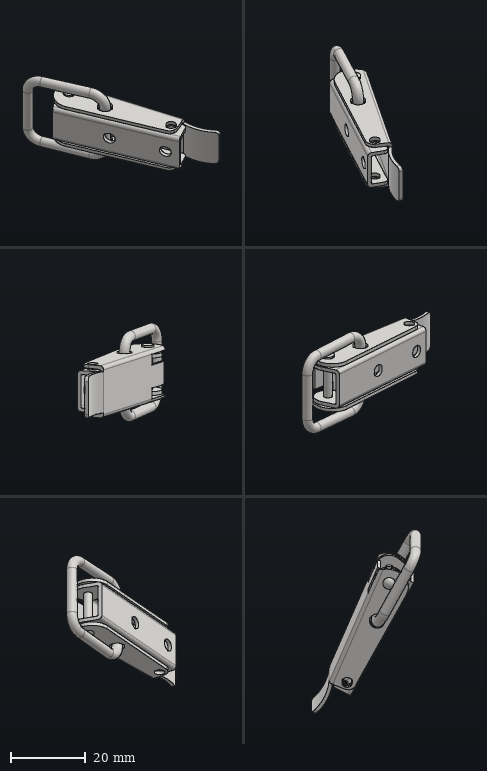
import cadquery as cq
import math

SHEET = 1.05
LEVER_BACK_SHEET = 0.9
BEND_OUTER = 1.05
BEND_INNER = 0.45
LEVER_HALF_WIDTH = 7.1
BASE_HALF_WIDTH = 5.6
THROUGH = 33.05

PIN_X = 12.55
PIN_Y = 6.15
PIN_DIAMETER = 2.4
PIN_HEAD_DIAMETER = 3.4
PIN_HEAD_HEIGHT = 0.5
PIN_DOME_DIAMETER = 3.3
PIN_DOME_HEIGHT = 0.9

WIRE_DIAMETER = 3.0
BAIL_X_NEAR = WIRE_DIAMETER / 2
BAIL_X_FAR = 23.5
BAIL_Y = 4.0
BAIL_BEND = 4.0
BAIL_NEAR_HALF = 10.65
BAIL_FAR_HALF = 10.85

BAIL_HOLE_DIAMETER = 4.0
LOCK_HOLE_X = 42.6
LOCK_HOLE_Y = 3.05
LOCK_HOLE_DIAMETER = 2.8

BASE_X_MIN = 10.0
BASE_X_MAX = 46.0
BASE_SIDE_HEIGHT = 5.85
BASE_CORNER = 1.1
BASE_EAR_RADIUS = 3.9
MOUNT_HOLE_DIAMETER = 3.3
MOUNT_HOLE_XS = (26.1, 42.05)

LEVER_TOP_X = 10.6
LEVER_TOP_Y = 10.4
LEVER_END_X = 44.95
LEVER_END_Y = 7.2
LEVER_SLOPE = math.atan2(LEVER_TOP_Y - LEVER_END_Y, LEVER_END_X - LEVER_TOP_X)
LEVER_BOTTOM_Y = 0.5
LEVER_BOTTOM_CORNER = 2.35
NOSE_X = 8.55
NOSE_LOWER_RADIUS = 4.95
NOSE_UPPER_RADIUS = 6.95
TONGUE_HALF_WIDTH = 3.15
TONGUE_START_X = 11.2
NOTCH_END_X = 17.9

TAB_X_MAX = 55.1
TAB_HOLLOW_RADIUS = 13.2
TAB_CORNER = 1.2


def side_cylinder(x, y, diameter, z_from, z_to):
    """Cylinder along Z."""
    return cq.Workplane("XY", origin=(x, y, z_from)).circle(diameter / 2).extrude(z_to - z_from)


def through_side_holes():
    """Tools for the holes shared by the side plates of base and lever."""
    bail_hole = side_cylinder(BAIL_X_FAR, BAIL_Y, BAIL_HOLE_DIAMETER, -THROUGH, THROUGH)
    lock_hole = side_cylinder(LOCK_HOLE_X, LOCK_HOLE_Y, LOCK_HOLE_DIAMETER, -THROUGH, THROUGH)
    return bail_hole.union(lock_hole)


def make_bail():
    """Closed wire loop whose far leg crosses both channels."""
    spread = math.atan2(BAIL_FAR_HALF - BAIL_NEAR_HALF, BAIL_X_FAR - BAIL_X_NEAR)

    def bend_points(x_leg, inward, arm_height, tilt):
        """Leg tangent, middle and arm tangent points of one upper bend."""
        center_x = x_leg + inward * BAIL_BEND
        center_z = arm_height - BAIL_BEND
        arm_angle = math.pi / 2 + tilt
        leg_angle = math.pi if inward > 0 else 0.0
        angles = (leg_angle, (leg_angle + arm_angle) / 2, arm_angle)
        return [(center_x + BAIL_BEND * math.cos(a), center_z + BAIL_BEND * math.sin(a)) for a in angles]

    def mirrored(point):
        return (point[0], -point[1])

    near_leg, near_mid, near_arm = bend_points(BAIL_X_NEAR, 1, BAIL_NEAR_HALF, spread)
    far_leg, far_mid, far_arm = bend_points(BAIL_X_FAR, -1, BAIL_FAR_HALF, spread)
    path = (
        cq.Workplane("XZ", origin=(0, BAIL_Y, 0))
        .moveTo(BAIL_X_NEAR, 0)
        .lineTo(*near_leg)
        .threePointArc(near_mid, near_arm)
        .lineTo(*far_arm)
        .threePointArc(far_mid, far_leg)
        .lineTo(*mirrored(far_leg))
        .threePointArc(mirrored(far_mid), mirrored(far_arm))
        .lineTo(*mirrored(near_arm))
        .threePointArc(mirrored(near_mid), mirrored(near_leg))
        .close()
    )
    section = cq.Workplane("XY", origin=(BAIL_X_NEAR, BAIL_Y, 0)).circle(WIRE_DIAMETER / 2)
    return section.sweep(path, transition="round")


def make_base():
    """U-channel with mounting holes and a rounded ear around the pin on each side."""
    ear_right_x = PIN_X + math.sqrt(BASE_EAR_RADIUS**2 - (BASE_SIDE_HEIGHT - PIN_Y) ** 2)
    corner_distance = math.hypot(PIN_X - BASE_X_MIN, PIN_Y)
    tangent_angle = (
        math.atan2(-PIN_Y, BASE_X_MIN - PIN_X) - math.acos(BASE_EAR_RADIUS / corner_distance)
    )
    tangent_point = (
        PIN_X + BASE_EAR_RADIUS * math.cos(tangent_angle),
        PIN_Y + BASE_EAR_RADIUS * math.sin(tangent_angle),
    )
    body = (
        cq.Workplane("XY")
        .moveTo(BASE_X_MIN, 0)
        .lineTo(*tangent_point)
        .threePointArc((PIN_X, PIN_Y + BASE_EAR_RADIUS), (ear_right_x, BASE_SIDE_HEIGHT))
        .lineTo(BASE_X_MAX - BASE_CORNER, BASE_SIDE_HEIGHT)
        .radiusArc((BASE_X_MAX, BASE_SIDE_HEIGHT - BASE_CORNER), BASE_CORNER)
        .lineTo(BASE_X_MAX, 0)
        .close()
        .extrude(BASE_HALF_WIDTH, both=True)
        .faces("<Y")
        .edges("|X")
        .fillet(BEND_OUTER)
    )
    cavity = (
        cq.Workplane("XY")
        .box(4 * THROUGH, THROUGH, 2 * (BASE_HALF_WIDTH - SHEET))
        .faces("<Y")
        .edges("|X")
        .fillet(BEND_INNER)
        .translate((BASE_X_MIN, SHEET + THROUGH / 2, 0))
    )
    body = body.cut(cavity).cut(through_side_holes())
    body = body.cut(side_cylinder(PIN_X, PIN_Y, PIN_DIAMETER, -BASE_HALF_WIDTH, BASE_HALF_WIDTH))
    mount_holes = (
        cq.Workplane("XZ")
        .pushPoints([(x, 0) for x in MOUNT_HOLE_XS])
        .circle(MOUNT_HOLE_DIAMETER / 2)
        .extrude(-2 * SHEET)
    )
    return body.cut(mount_holes)


def lever_channel():
    """Sloping U-channel, open toward the base, with a rounded nose."""
    nose_y = LEVER_BOTTOM_Y + NOSE_LOWER_RADIUS
    nose_bottom_x = NOSE_X + NOSE_LOWER_RADIUS
    bottom_end_x = LEVER_END_X - (LEVER_END_Y - LEVER_BOTTOM_Y) * math.tan(LEVER_SLOPE)
    body = (
        cq.Workplane("XY")
        .moveTo(LEVER_TOP_X, LEVER_TOP_Y)
        .lineTo(LEVER_END_X, LEVER_END_Y)
        .lineTo(bottom_end_x, LEVER_BOTTOM_Y)
        .lineTo(nose_bottom_x, LEVER_BOTTOM_Y)
        .radiusArc((NOSE_X, nose_y), NOSE_LOWER_RADIUS)
        .radiusArc((LEVER_TOP_X, LEVER_TOP_Y), NOSE_UPPER_RADIUS)
        .close()
        .extrude(LEVER_HALF_WIDTH, both=True)
    )
    lower_corner = cq.selectors.NearestToPointSelector((bottom_end_x, LEVER_BOTTOM_Y, 0))
    body = body.edges("|Z").edges(lower_corner).fillet(LEVER_BOTTOM_CORNER)
    back_direction = cq.Vector(math.sin(LEVER_SLOPE), math.cos(LEVER_SLOPE), 0)
    back_face = body.faces(cq.selectors.DirectionMinMaxSelector(back_direction))
    body = back_face.edges("not |Z").fillet(BEND_OUTER)

    inner_half_width = LEVER_HALF_WIDTH - SHEET
    cavity = (
        cq.Workplane("XY")
        .box(4 * THROUGH, THROUGH, 2 * inner_half_width)
        .faces(">Y")
        .edges("|X")
        .fillet(BEND_INNER)
        .translate((0, -LEVER_BACK_SHEET - THROUGH / 2, 0))
        .rotate((0, 0, 0), (0, 0, 1), -math.degrees(LEVER_SLOPE))
        .translate((LEVER_TOP_X, LEVER_TOP_Y, 0))
    )
    body = body.cut(cavity)

    notch_width = inner_half_width - TONGUE_HALF_WIDTH
    for side in (-1, 1):
        notch = (
            cq.Workplane("XY")
            .box(THROUGH, THROUGH, notch_width)
            .translate((NOTCH_END_X - THROUGH / 2, 0, side * (TONGUE_HALF_WIDTH + notch_width / 2)))
        )
        body = body.cut(notch)
    tongue_trim = (
        cq.Workplane("XY")
        .box(THROUGH, THROUGH, 2 * inner_half_width)
        .translate((TONGUE_START_X - THROUGH / 2, 0, 0))
    )
    body = body.cut(tongue_trim)
    return body.cut(through_side_holes())


def handle_tab():
    """Curved finger tab with rounded corners that continues the lever's back."""
    half_length = (TAB_X_MAX - LEVER_END_X) / 2
    middle_x = LEVER_END_X + half_length
    center_y = LEVER_END_Y + math.sqrt(TAB_HOLLOW_RADIUS**2 - half_length**2)
    outer_radius = TAB_HOLLOW_RADIUS + SHEET
    outer_end_y = center_y - math.sqrt(outer_radius**2 - half_length**2)
    root_x = LEVER_END_X - LEVER_BACK_SHEET * math.sin(LEVER_SLOPE)
    root_y = LEVER_END_Y - LEVER_BACK_SHEET * math.cos(LEVER_SLOPE)
    return (
        cq.Workplane("XY")
        .moveTo(LEVER_END_X, LEVER_END_Y)
        .threePointArc((middle_x, center_y - TAB_HOLLOW_RADIUS), (TAB_X_MAX, LEVER_END_Y))
        .lineTo(TAB_X_MAX, outer_end_y)
        .threePointArc((middle_x, center_y - outer_radius), (LEVER_END_X, outer_end_y))
        .lineTo(root_x, root_y)
        .close()
        .extrude(BASE_HALF_WIDTH, both=True)
        .faces(">X")
        .edges("|Y")
        .fillet(TAB_CORNER)
    )


def pivot_pin():
    """Pin with a flat head at the top and a domed head at the bottom."""
    shank = side_cylinder(PIN_X, PIN_Y, PIN_DIAMETER, -LEVER_HALF_WIDTH, LEVER_HALF_WIDTH)
    head_top = LEVER_HALF_WIDTH + PIN_HEAD_HEIGHT
    head = side_cylinder(PIN_X, PIN_Y, PIN_HEAD_DIAMETER, LEVER_HALF_WIDTH, head_top)
    dome_base_radius = PIN_DOME_DIAMETER / 2
    sphere_radius = (dome_base_radius**2 + PIN_DOME_HEIGHT**2) / (2 * PIN_DOME_HEIGHT)
    dome = (
        cq.Workplane("XZ", origin=(PIN_X, PIN_Y, -LEVER_HALF_WIDTH))
        .lineTo(dome_base_radius, 0)
        .radiusArc((0, -PIN_DOME_HEIGHT), sphere_radius)
        .close()
        .revolve(360, (0, 0, 0), (0, 1, 0))
    )
    return shank.union(head).union(dome)


def make_lever():
    """Lever channel in one piece with its handle tab and riveted pivot pin."""
    return lever_channel().union(handle_tab()).union(pivot_pin())


bail = make_bail()
base = make_base()
lever = make_lever()

result = cq.Compound.makeCompound([bail.val(), base.val(), lever.val()])